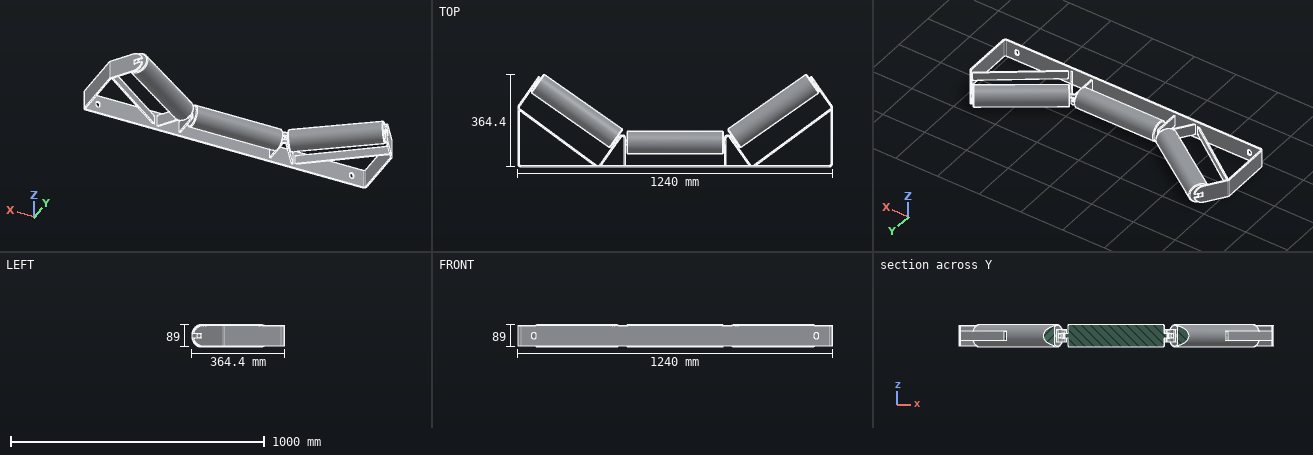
import cadquery as cq
import math


LENGTH = 1240.0
STRIP_THICKNESS = 6.0
STRIP_WIDTH = 80.0
BEND_RADIUS = 12.0

ROLLER_DIAMETER = 89.0
ROLLER_LENGTH = 381.0
ROLLER_CHAMFER = 4.0
SHAFT_DIAMETER = 19.0
ROLLER_GAP = 5.0
CENTRE_ROLLER_HEIGHT = 97.0
SIDE_ROLLER_X = -387.0
SIDE_ROLLER_HEIGHT = 221.0
TROUGH_ANGLE = 35.0

TIP_ROUND_DROP = 14.0
MOUNT_HOLE_X = 557.0
MOUNT_HOLE_WIDTH = 17.0
MOUNT_HOLE_LENGTH = 26.0

BRACKET_WIDTH = 50.0

BRACE_WIDTH = 37.0
BRACE_WALL_HEIGHT = 227.0
BRACE_FOOT_X = -314.0

SIN = math.sin(math.radians(TROUGH_ANGLE))
COS = math.cos(math.radians(TROUGH_ANGLE))
MID = STRIP_THICKNESS / 2
HOLDER_OFFSET = ROLLER_LENGTH / 2 + ROLLER_GAP + MID
SHAFT_LENGTH = 2 * (HOLDER_OFFSET + MID)


def side_point(along, across):
    """Point given along the left roller axis (outward, up) and across it (inward, up)."""
    x = SIDE_ROLLER_X - along * COS + across * SIN
    y = SIDE_ROLLER_HEIGHT + along * SIN + across * COS
    return x, y


def across_at_x(along, x):
    """Distance across the left roller axis at which the given line reaches x."""
    return (x - SIDE_ROLLER_X + along * COS) / SIN


def across_at_y(along, y):
    """Distance across the left roller axis at which the given line reaches y."""
    return (y - SIDE_ROLLER_HEIGHT - along * SIN) / COS


def mirrored(body):
    """Right-hand twin of a left-hand body."""
    return body.mirror("YZ")


def bent_strip(points, width):
    """Strip swept along its middle line, with every corner bent round."""
    vectors = [cq.Vector(x, y, 0) for x, y in points]
    path = cq.Wire.makePolygon(vectors).fillet(BEND_RADIUS - MID)
    start = cq.Plane(vectors[0], xDir=(0, 0, 1), normal=vectors[1] - vectors[0])
    return cq.Workplane(start).rect(width, STRIP_THICKNESS).sweep(path)


def side_roller_plane(along=0.0, across=0.0):
    """Plane on the left roller: normal outward along the axis, local Y across it."""
    x, y = side_point(along, across)
    return cq.Plane((x, y, 0), xDir=(0, 0, 1), normal=(-COS, SIN, 0))


def centre_roller_plane(along=0.0):
    """Plane on the centre roller: normal outward to the left, local Y upward."""
    return cq.Plane((-along, CENTRE_ROLLER_HEIGHT, 0), xDir=(0, 0, 1), normal=(-1, 0, 0))


def shaft_slot(plane):
    """Slot for one shaft end: flat under the shaft, open on its upper side."""
    depth = 2 * STRIP_WIDTH
    return (
        cq.Workplane(plane)
        .center(0, (depth - SHAFT_DIAMETER) / 2)
        .box(SHAFT_DIAMETER, depth, 2 * STRIP_THICKNESS)
    )


def make_frame():
    """Base, end walls and round-tipped arms bent from one strip, slotted for the outer shafts."""
    wall_x = -LENGTH / 2 + MID
    tip = side_point(HOLDER_OFFSET, -TIP_ROUND_DROP)
    shoulder = side_point(HOLDER_OFFSET, across_at_x(HOLDER_OFFSET, wall_x))
    left = [tip, shoulder, (wall_x, MID)]
    right = [(-x, y) for x, y in reversed(left)]
    frame = bent_strip(left + right, STRIP_WIDTH)

    tip_plane = side_roller_plane(HOLDER_OFFSET - MID, -TIP_ROUND_DROP)
    tip_disc = cq.Workplane(tip_plane).circle(STRIP_WIDTH / 2).extrude(STRIP_THICKNESS)
    slot = shaft_slot(side_roller_plane(HOLDER_OFFSET))
    frame = frame.union(tip_disc).union(mirrored(tip_disc))
    frame = frame.cut(slot).cut(mirrored(slot))

    mount_holes = (
        cq.Workplane("XZ")
        .pushPoints([(-MOUNT_HOLE_X, 0), (MOUNT_HOLE_X, 0)])
        .slot2D(MOUNT_HOLE_LENGTH, MOUNT_HOLE_WIDTH, 90)
        .extrude(-STRIP_THICKNESS)
    )
    return frame.cut(mount_holes)


def make_brace():
    """Narrow sloping strip below the left roller, cut flush to the end wall and the base."""
    wall_x = -LENGTH / 2 + STRIP_THICKNESS
    run = BRACE_FOOT_X - wall_x
    drop = BRACE_WALL_HEIGHT - STRIP_THICKNESS
    brace_length = math.hypot(run, drop)
    half_rise = MID * brace_length / run
    half_reach = MID * brace_length / drop
    outline = [
        (wall_x, BRACE_WALL_HEIGHT + half_rise),
        (BRACE_FOOT_X + half_reach, STRIP_THICKNESS),
        (BRACE_FOOT_X - half_reach, STRIP_THICKNESS),
        (wall_x, BRACE_WALL_HEIGHT - half_rise),
    ]
    return (
        cq.Workplane("XY")
        .polyline(outline)
        .close()
        .extrude(BRACE_WIDTH / 2, both=True)
    )


def make_bracket():
    """Bent strip with one leg across the left roller axis and one upright leg."""
    upright_x = -HOLDER_OFFSET
    apex = side_point(-HOLDER_OFFSET, across_at_x(-HOLDER_OFFSET, upright_x))
    foot = side_point(-HOLDER_OFFSET, across_at_y(-HOLDER_OFFSET, 0))
    bracket = bent_strip([foot, apex, (upright_x, 0)], BRACKET_WIDTH)
    below = cq.Workplane("XY").box(LENGTH, 2 * STRIP_THICKNESS, STRIP_WIDTH)
    bracket = bracket.cut(below)
    bracket = bracket.cut(shaft_slot(side_roller_plane(-HOLDER_OFFSET)))
    return bracket.cut(shaft_slot(centre_roller_plane(HOLDER_OFFSET)))


def make_roller(plane):
    """Roller with its shaft, centred on a plane and lying along its normal."""
    shell = (
        cq.Workplane(plane)
        .workplane(offset=-ROLLER_LENGTH / 2)
        .circle(ROLLER_DIAMETER / 2)
        .extrude(ROLLER_LENGTH)
        .edges()
        .chamfer(ROLLER_CHAMFER)
    )
    shaft = (
        cq.Workplane(plane)
        .workplane(offset=-SHAFT_LENGTH / 2)
        .circle(SHAFT_DIAMETER / 2)
        .extrude(SHAFT_LENGTH)
    )
    return shell.union(shaft)


frame = make_frame()
centre_roller = make_roller(centre_roller_plane())

left_bodies = [make_brace(), make_bracket(), make_roller(side_roller_plane())]

bodies = [frame.solids().val(), centre_roller.solids().val()]
for left_body in left_bodies:
    bodies.append(left_body.solids().val())
    bodies.append(mirrored(left_body).solids().val())

result = cq.Compound.makeCompound(bodies)